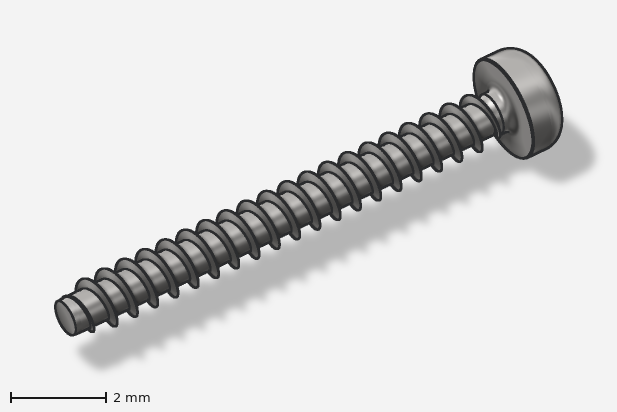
import cadquery as cq
import math

TOTAL_LENGTH = 11.95

HEAD_DIAMETER = 2.3
HEAD_HEIGHT = 0.96
HEAD_DOME_RADIUS = 0.48
HEAD_EDGE_CHAMFER = 0.02

NECK_RADIUS = 0.47
NECK_FILLET = 0.17
NECK_LENGTH = 0.29
NECK_TAPER_LENGTH = 0.18

CORE_RADIUS = 0.41
TIP_RADIUS = 0.4
TIP_TAPER_LENGTH = 0.14

FIRST_CREST_DEPTH = 0.42
CREST_SPAN = 10.19
SPAN_TURNS = 20
LEAD_TURNS = 0.9
TAIL_TURNS = 0.7
FADE_TURNS = 1.4
END_SHARE = 0.1
POINTS_PER_TURN = 16

THREAD_RADIUS = 0.61
FOOT_RADIUS = 0.35
CREST_WIDTH = 0.01
FOOT_WIDTH = 0.19

HEAD_RADIUS = HEAD_DIAMETER / 2
SHANK_LENGTH = TOTAL_LENGTH - HEAD_HEIGHT
PITCH = CREST_SPAN / SPAN_TURNS
FIRST_TURN = -LEAD_TURNS
LAST_TURN = SPAN_TURNS + TAIL_TURNS


def quarter_arc_middle(centre_x, centre_y, radius, side_x, side_y):
    """Middle point of a quarter arc that lies toward the given sides of its centre."""
    offset = radius * math.sqrt(0.5)
    return (centre_x + side_x * offset, centre_y + side_y * offset)


def make_body():
    """Head, neck and core as one revolved profile."""
    dome_centre = (HEAD_RADIUS - HEAD_DOME_RADIUS, HEAD_HEIGHT - HEAD_DOME_RADIUS)
    fillet_centre = (NECK_RADIUS + NECK_FILLET, -NECK_FILLET)
    return (
        cq.Workplane("XY")
        .moveTo(0, HEAD_HEIGHT)
        .lineTo(dome_centre[0], HEAD_HEIGHT)
        .threePointArc(
            quarter_arc_middle(*dome_centre, HEAD_DOME_RADIUS, 1, 1),
            (HEAD_RADIUS, dome_centre[1]),
        )
        .lineTo(HEAD_RADIUS, HEAD_EDGE_CHAMFER)
        .lineTo(HEAD_RADIUS - HEAD_EDGE_CHAMFER, 0)
        .lineTo(fillet_centre[0], 0)
        .threePointArc(
            quarter_arc_middle(*fillet_centre, NECK_FILLET, -1, 1),
            (NECK_RADIUS, -NECK_FILLET),
        )
        .lineTo(NECK_RADIUS, -NECK_LENGTH)
        .lineTo(CORE_RADIUS, -NECK_LENGTH - NECK_TAPER_LENGTH)
        .lineTo(CORE_RADIUS, TIP_TAPER_LENGTH - SHANK_LENGTH)
        .lineTo(TIP_RADIUS, -SHANK_LENGTH)
        .lineTo(0, -SHANK_LENGTH)
        .close()
        .revolve(360, (0, 0, 0), (0, 1, 0))
    )


def profile_share(turn):
    """Size of the thread profile relative to the full profile."""
    turns_from_end = min(turn - FIRST_TURN, LAST_TURN - turn)
    return min(1.0, END_SHARE + (1 - END_SHARE) * turns_from_end / FADE_TURNS)


def helix_edge(full_radius, full_offset, start_turn, end_turn):
    """Helical edge traced by one corner of the thread profile."""
    steps = math.ceil((end_turn - start_turn) * POINTS_PER_TURN)
    points = []
    for step in range(steps + 1):
        turn = start_turn + (end_turn - start_turn) * step / steps
        share = profile_share(turn)
        radius = FOOT_RADIUS + (full_radius - FOOT_RADIUS) * share
        angle = 2 * math.pi * turn
        y = full_offset * share - FIRST_CREST_DEPTH - PITCH * turn
        points.append(cq.Vector(radius * math.cos(angle), y, radius * math.sin(angle)))
    return cq.Edge.makeSpline(points)


def make_thread():
    """Solid thread ridge: fade-in, full and fade-out stretches, closed by a flat cap at each end."""
    corners = [
        (FOOT_RADIUS, FOOT_WIDTH / 2),
        (THREAD_RADIUS, CREST_WIDTH / 2),
        (THREAD_RADIUS, -CREST_WIDTH / 2),
        (FOOT_RADIUS, -FOOT_WIDTH / 2),
    ]
    breaks = [FIRST_TURN, FIRST_TURN + FADE_TURNS, LAST_TURN - FADE_TURNS, LAST_TURN]
    stretches = [
        [helix_edge(radius, offset, start, end) for radius, offset in corners]
        for start, end in zip(breaks, breaks[1:])
    ]
    faces = []
    for edges in stretches:
        for edge, next_edge in zip(edges, edges[1:] + edges[:1]):
            faces.append(cq.Face.makeRuledSurface(edge, next_edge))
    cap_outlines = [
        [edge.startPoint() for edge in stretches[0]],
        [edge.endPoint() for edge in stretches[-1]],
    ]
    for outline in cap_outlines:
        faces.append(cq.Face.makeFromWires(cq.Wire.makePolygon(outline, close=True)))
    return cq.Solid.makeSolid(cq.Shell.makeShell(faces))


result = make_body().union(cq.Workplane(make_thread()))